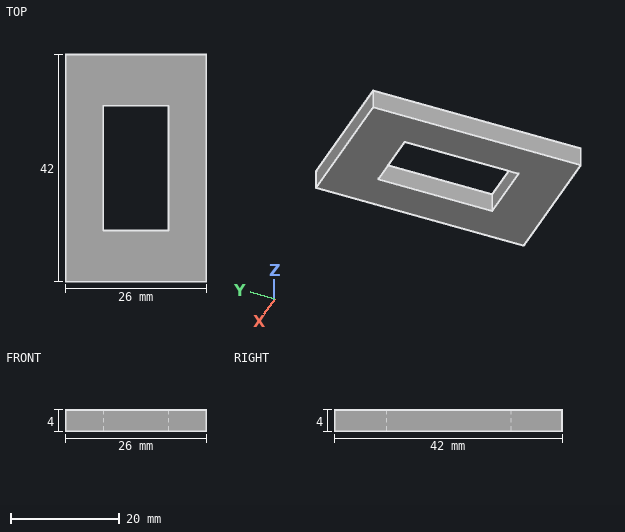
import cadquery as cq

plate_width = 26.0
plate_length = 42.0
plate_thickness = 4.0

window_width = 12.0
window_length = 23.0

plate = cq.Workplane("XY").box(plate_width, plate_length, plate_thickness)
window = cq.Workplane("XY").box(window_width, window_length, plate_thickness)

result = plate.cut(window)